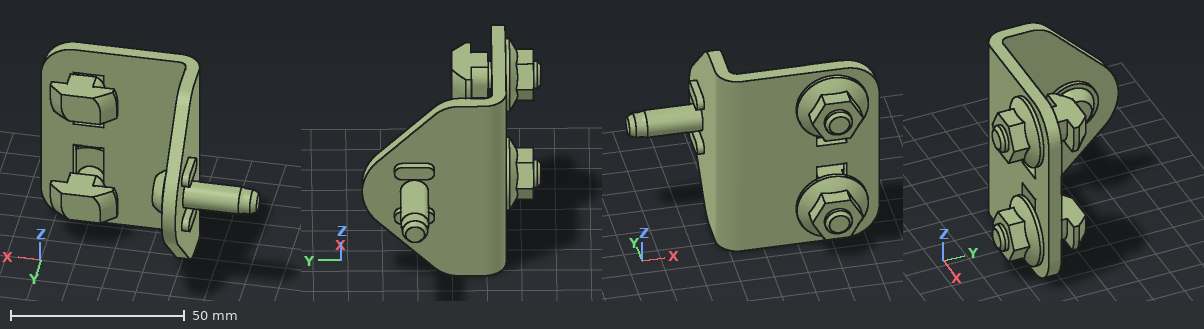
import cadquery as cq
import math


height = 60.0
thickness = 4.0
flange_length = 47.0
bend_radius = 6.5
flange_corner_radius = 10.0

pin_y = 26.5
apex_radius = 15.0
shoulder_radius = 10.0

pin_radius = 8.0 / 2
pin_reach = 21.3
pin_nose_radius = 2.7
pin_neck_radius = 3.6
pin_nose_length = 1.8
pin_neck_length = 2.1
pin_step_length = 1.15

rim_radius = 8.05
rim_thickness = 1.3
dome_base_radius = 6.6
dome_mid_radius = 5.7
dome_top_radius = 4.4
dome_mid_height = 2.05
dome_height = 3.55

pad_length = 11.5
pad_width = 4.25
pad_height = 2.1
pad_z = 7.85

bolt_x = 33.0
bolt_z = 17.5
slot_width = 8.9
slot_inner_z = 3.7
shank_radius = 8.0 / 2
shank_reach = 10.2
shank_chamfer = 1.0
tee_width = 9.0
tee_neck_radius = 5.1
tee_neck_start = 5.0
tee_head_radius = 9.7
tee_head_start = 9.85
tee_taper_start = 11.55
tee_top_radius = 5.7
tee_end = 15.5

nut_across_flats = 13.0
nut_height = 8.05
nut_flange_radius = 10.5
nut_flange_thickness = 1.15
nut_dome_radius = 17.2


def bracket():
    """L-shaped bent plate with a tapered leg and a round-cornered flange."""
    leg_peak = pin_y + apex_radius * math.sqrt(2)
    leg_end = pin_y + apex_radius
    plate = (
        cq.Workplane("XY")
        .polyline([
            (0, 0),
            (flange_length, 0),
            (flange_length, thickness),
            (thickness, thickness),
            (thickness, leg_end),
            (0, leg_end),
        ])
        .close()
        .extrude(height / 2, both=True)
    )
    plate = plate.edges(cq.NearestToPointSelector((0, 0, 0))).fillet(bend_radius)
    inner_corner = cq.NearestToPointSelector((thickness, thickness, 0))
    plate = plate.edges(inner_corner).fillet(bend_radius - thickness)
    plate = plate.edges("|Y and >X").fillet(flange_corner_radius)

    shoulder_y = leg_peak - height / 2
    outline = (
        cq.Workplane("YZ")
        .polyline([
            (0, -height / 2),
            (shoulder_y, -height / 2),
            (leg_peak, 0),
            (shoulder_y, height / 2),
            (0, height / 2),
        ])
        .close()
        .extrude(flange_length)
    )
    outline = outline.edges("|X and >Y").fillet(apex_radius)
    for side in (-1, 1):
        shoulder = cq.NearestToPointSelector((flange_length / 2, shoulder_y, side * height / 2))
        outline = outline.edges(shoulder).fillet(shoulder_radius)
    return plate.intersect(outline)


def pin():
    """Stepped round pin with a domed head against the inner face of the leg."""
    nose_end = -pin_reach + pin_nose_length
    neck_end = nose_end + pin_neck_length
    rim_end = thickness + rim_thickness
    return (
        cq.Workplane("XY")
        .moveTo(-pin_reach, 0)
        .lineTo(-pin_reach, pin_nose_radius)
        .lineTo(nose_end, pin_neck_radius)
        .lineTo(neck_end, pin_neck_radius)
        .lineTo(neck_end + pin_step_length, pin_radius)
        .lineTo(thickness, pin_radius)
        .lineTo(thickness, rim_radius)
        .lineTo(rim_end, rim_radius)
        .lineTo(rim_end, dome_base_radius)
        .threePointArc(
            (rim_end + dome_mid_height, dome_mid_radius),
            (rim_end + dome_height, dome_top_radius),
        )
        .lineTo(rim_end + dome_height, 0)
        .close()
        .revolve(360, (0, 0, 0), (1, 0, 0))
        .translate((0, pin_y, 0))
    )


def pads():
    """Two round-ended pads raised from the outer face of the leg."""
    return (
        cq.Workplane("YZ")
        .pushPoints([(pin_y, -pad_z), (pin_y, pad_z)])
        .slot2D(pad_length, pad_width)
        .extrude(-pad_height)
    )


def slot(side):
    """Rectangular cutter from the slot's inner end to just past the bolt."""
    outer_z = bolt_z + slot_width / 2
    length = outer_z - slot_inner_z
    return (
        cq.Workplane("XY")
        .box(slot_width, thickness, length)
        .translate((bolt_x, thickness / 2, side * (slot_inner_z + length / 2)))
    )


def tee():
    """T-shaped bolt end: two opposite corners are square, the other two are turned round."""
    half_outline = [
        (tee_neck_radius, tee_neck_start),
        (tee_neck_radius, tee_head_start),
        (tee_head_radius, tee_head_start),
        (tee_head_radius, tee_taper_start),
        (tee_top_radius, tee_end),
    ]
    mirrored = [(-x, y) for x, y in reversed(half_outline)]
    prism = (
        cq.Workplane("XY").polyline(half_outline + mirrored).close().extrude(tee_width / 2, both=True)
    )
    turned = (
        cq.Workplane("XY")
        .polyline([(0, tee_neck_start)] + half_outline + [(0, tee_end)])
        .close()
        .revolve(360, (0, 0, 0), (0, 1, 0))
    )
    body = prism.intersect(turned)
    for side in (-1, 1):
        quadrant = (
            cq.Workplane("XY")
            .box(tee_head_radius, tee_end, tee_width / 2)
            .translate((side * tee_head_radius / 2, tee_end / 2, side * tee_width / 4))
        )
        body = body.union(prism.intersect(quadrant))
    return body


def nut():
    """Hexagon on a round flange with a spherical upper side."""
    dome_base_height = math.sqrt(nut_dome_radius**2 - nut_flange_radius**2)
    dome_center_y = dome_base_height - nut_flange_thickness
    dome = cq.Workplane("XY").sphere(nut_dome_radius).translate((0, dome_center_y, 0))
    flange = cq.Workplane("XZ").circle(nut_flange_radius).extrude(nut_height).intersect(dome)
    across_corners = nut_across_flats / math.cos(math.pi / 6)
    return cq.Workplane("XZ").polygon(6, across_corners).extrude(nut_height).union(flange)


def bolt():
    """T-bolt with its nut, on the Y axis; the nut seats on Y = 0."""
    shank = (
        cq.Workplane("XZ", origin=(0, tee_head_start, 0))
        .circle(shank_radius)
        .extrude(tee_head_start + shank_reach)
        .faces("<Y")
        .chamfer(shank_chamfer)
    )
    return shank.union(tee()).union(nut())


result = bracket().union(pin()).union(pads())
for bolt_side in (-1, 1):
    result = result.cut(slot(bolt_side))
    result = result.union(bolt().translate((bolt_x, 0, bolt_side * bolt_z)))